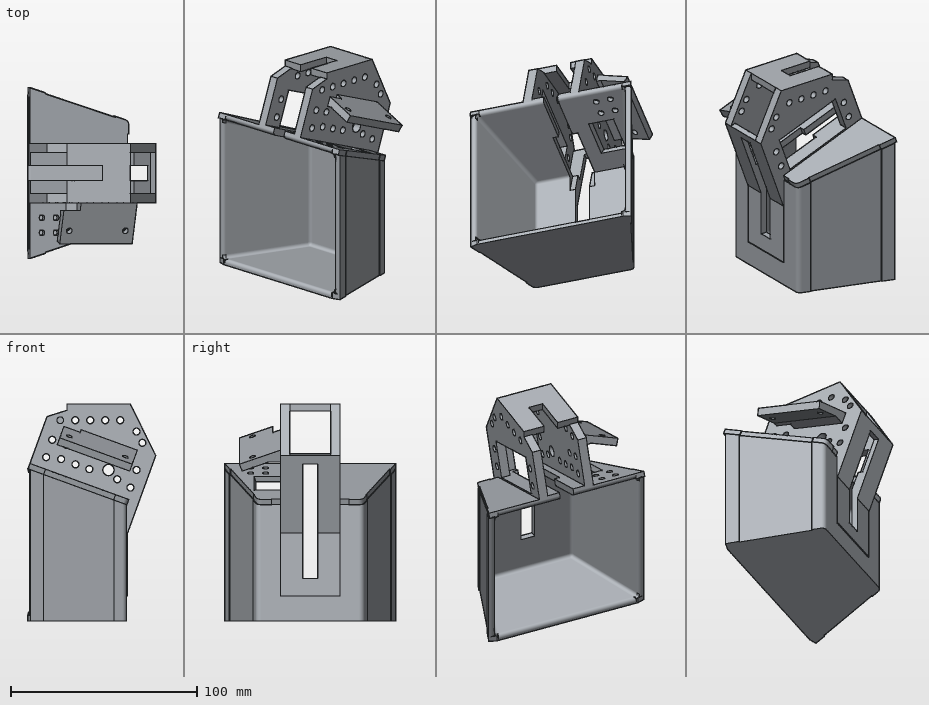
import cadquery as cq
import math

rim_half_width = 46.0
rim_corner_x = 1.4
back_x = 53.2
wall = 3.0
border_thickness = 3.3
step = 0.5
taper = math.radians(18.6)
border_front_x = 8.4
border_back_x = 46.3
inner_radius = 2.0
back_corner_radius = 3.0
back_pad_bottom = 13.5

tilt = math.radians(20)
roof_front_x = 1.2
roof_front_z = 84.7
roof_length = 56.6
roof_border_front = 9.0
roof_border_back = 49.0
roof_recess = 0.7
roof_recess_half_width = 20.9
roof_window_u = (20.5, 41.5)
roof_window_y = (-30.2, -16.0)
roof_hole_pitch = 8.0
roof_hole_centre = (11.0, -28.0)
screw_diameter = 3.2

bracket_half_width = 16.0
bracket_half_gap = 11.0
base_pad = 0.88
total_height = 116.7
top_plate = 3.9
top_front_x = 21.0
top_back_x = 55.2
nose_h = 26.8
nose_top_z = 113.3
tip_x = 68.9
tip_z = 88.9
window_u = (11.0, 51.0)
window_top = 21.6

pin_diameter = 3.6
pin_row_z = 108.0
pin_row_start_x = 17.5
pin_row_pitch = 8.0
pin_row_count = 5
single_pins = [
    (58.5, 101.9), (61.6, 95.8), (13.2, 97.5), (20.8, 94.8), (9.9, 88.1), (18.0, 87.1),
    (25.7, 84.3), (33.1, 81.7), (48.1, 76.2), (55.2, 71.8), (58.5, 81.2),
]
pivot_diameter = 6.0
pivot_place = (43.4, 81.2)

tab_u = (10.4, 51.8)
tab_edge_y = -38.0
tab_edge_h = 18.5
tab_thickness = 4.2
tab_foot_h = 19.6
tab_notch_back = 19.7
tab_notch_y = -20.1
tab_hole_y = -31.0
tab_hole_places = (14.9, 47.0)

slot_width = 8.0
slot_bottom = 23.0
top_slot_end_x = 40.3
back_slot_margin = 4.9
relief_width = 14.1
relief_u = (25.2, 56.1)
relief_bottom = 52.5

far = 2 * total_height
side_slope = math.tan(taper)
back_inner_x = back_x - wall
ceiling = total_height - top_plate
half_slot = slot_width / 2


def slope_point(u, h):
    """X and Z of a point u down the roof and h above it."""
    x = roof_front_x + u * math.cos(tilt) + h * math.sin(tilt)
    z = roof_front_z - u * math.sin(tilt) + h * math.cos(tilt)
    return (x, z)


def slope_coordinates(x, z):
    """u and h of a point given by X and Z."""
    dx = x - roof_front_x
    dz = z - roof_front_z
    u = dx * math.cos(tilt) - dz * math.sin(tilt)
    h = dx * math.sin(tilt) + dz * math.cos(tilt)
    return (u, h)


def box_between(x_range, y_range, z_range):
    lengths = [high - low for low, high in (x_range, y_range, z_range)]
    corner = (x_range[0], y_range[0], z_range[0])
    return cq.Workplane("XY").box(*lengths, centered=False).translate(corner)


def side_profile(points, y_low, y_high):
    """Prism with an X-Z outline between two Y places."""
    plane = cq.Workplane("XZ", origin=(0, y_high, 0))
    return plane.polyline(points).close().extrude(y_high - y_low)


def slope_box(u_low, u_high, h_low, h_high, y_low, y_high):
    """Block lying square to the roof."""
    corners = [(u_low, h_low), (u_high, h_low), (u_high, h_high), (u_low, h_high)]
    return side_profile([slope_point(u, h) for u, h in corners], y_low, y_high)


def cross_section_bar(points, u_low, u_high):
    """Bar running down the roof, with its section given as (Y, h) points."""
    x, z = slope_point(u_low, 0)
    section = cq.Plane(origin=(x, 0, z), xDir=(0, 1, 0), normal=roof_plane.xDir.toTuple())
    return cq.Workplane(section).polyline(points).close().extrude(u_high - u_low)


def mirrored(points):
    """Complete the +Y half of an outline with its mirror image."""
    return points + [(a, -b) for a, b in reversed(points)]


def tapered_y(x, inset):
    """Half width of the hopper at x, on a face set in square to the outer side."""
    return rim_half_width - (x - rim_corner_x) * side_slope - inset / math.cos(taper)


roof_plane = cq.Plane(
    origin=(roof_front_x, 0, roof_front_z),
    xDir=(math.cos(tilt), 0, -math.sin(tilt)),
    normal=(math.sin(tilt), 0, math.cos(tilt)),
)
under_roof = slope_box(-far, far, -far, -wall, -far, far)
tip_u, tip_h = slope_coordinates(tip_x, tip_z)


def hopper_body():
    """Solid block of the hopper below the roof, with the pad on its back."""
    front_y = rim_half_width - rim_corner_x / side_slope
    half = [
        (0, front_y),
        (rim_corner_x, rim_half_width),
        (border_front_x, tapered_y(border_front_x, 0)),
        (border_front_x, tapered_y(border_front_x, step)),
        (border_back_x, tapered_y(border_back_x, step)),
        (border_back_x, tapered_y(border_back_x, 0)),
        (back_x, tapered_y(back_x, 0)),
    ]
    body = cq.Workplane("XY").polyline(mirrored(half)).close().extrude(roof_front_z)
    body = body.edges("|Z and >X").fillet(back_corner_radius)
    pad = box_between(
        (back_inner_x, back_x + step),
        (-bracket_half_width, bracket_half_width),
        (back_pad_bottom, roof_front_z),
    )
    return body.union(pad).intersect(under_roof)


def roof():
    def half_width(u, inset):
        return rim_half_width - u * math.cos(tilt) * side_slope - inset

    half = [
        (0, rim_half_width),
        (roof_border_front, half_width(roof_border_front, 0)),
        (roof_border_front, half_width(roof_border_front, step)),
        (roof_border_back, half_width(roof_border_back, step)),
        (roof_border_back, half_width(roof_border_back, 0)),
        (roof_length, half_width(roof_length, 0)),
    ]
    sheet = cq.Workplane(roof_plane).polyline(mirrored(half)).close().extrude(-wall)
    back_corners = cq.selectors.BoxSelector((back_x - wall, -far, 0), (far, far, far))
    across_sheet = cq.selectors.ParallelDirSelector(roof_plane.zDir)
    sheet = sheet.edges(across_sheet).edges(back_corners).fillet(back_corner_radius)
    recess_u = roof_length - roof_recess
    recess = slope_box(recess_u, far, -far, far, -roof_recess_half_width, roof_recess_half_width)
    return sheet.cut(recess)


def hopper_cavity():
    mouth_x = -inner_radius
    back_half_width = tapered_y(back_inner_x, border_thickness)
    half = [
        (mouth_x, tapered_y(mouth_x, border_thickness)),
        (back_inner_x, back_half_width),
    ]
    floor_plane = cq.Workplane("XY").workplane(offset=wall)
    cavity = floor_plane.polyline(mirrored(half)).close().extrude(total_height)
    cavity = cavity.intersect(under_roof)
    sharp_corner = cavity.intersect(
        box_between(
            (back_inner_x - 2 * inner_radius, back_inner_x),
            (inner_radius - back_half_width, -relief_width / 2),
            (total_height / 2, total_height),
        )
    )
    return cavity.edges("not(<X)").fillet(inner_radius).union(sharp_corner)


def rounding_bar(plane, length):
    """Waste of a rounded edge that starts at the plane origin; its faces run along +x and +y."""
    bar = cq.Workplane(plane).rect(inner_radius, inner_radius, centered=False).extrude(length)
    core = cq.Workplane(plane).center(inner_radius, inner_radius).circle(inner_radius)
    return bar.cut(core.extrude(length))


def mouth_rounding():
    """Rounds the inner edges of the mouth along the floor, the roof and both side walls."""
    side_x = rim_corner_x - border_thickness * math.sin(taper)
    side_y = rim_half_width - border_thickness * math.cos(taper)
    half_length = side_y - inner_radius
    lip_x, lip_z = slope_point(0, -wall)

    floor_plane = cq.Plane(origin=(0, half_length, wall), xDir=(0, 0, -1), normal=(0, -1, 0))
    roof_lip_plane = cq.Plane(
        origin=(lip_x, half_length, lip_z), xDir=roof_plane.xDir.toTuple(), normal=(0, -1, 0)
    )
    side_plane = cq.Plane(
        origin=(side_x, side_y, wall), xDir=(math.cos(taper), -math.sin(taper), 0), normal=(0, 0, 1)
    )
    floor_bar = rounding_bar(floor_plane, 2 * half_length)
    roof_bar = rounding_bar(roof_lip_plane, 2 * half_length)
    side_bar = rounding_bar(side_plane, lip_z - wall)
    return floor_bar.union(roof_bar).union(side_bar).union(side_bar.mirror("XZ"))


def roof_openings():
    """Window with leaning sides, and a square pattern of four screw holes."""
    y_low, y_high = roof_window_y
    depth = 2 * wall
    lean = depth * math.tan(tilt)
    section = [(y_low, 0), (y_high, 0), (y_high + lean, -depth), (y_low + lean, -depth)]
    window = cross_section_bar(section, *roof_window_u)
    holes = (
        cq.Workplane(roof_plane)
        .center(*roof_hole_centre)
        .rarray(roof_hole_pitch, roof_hole_pitch, 2, 2)
        .circle(screw_diameter / 2)
        .extrude(-depth)
    )
    return window.union(holes)


def bracket_body():
    """Two side plates joined by a top plate, a back plate and a wedge behind the hopper."""
    foot_z = tip_z - (tip_x - back_x) / math.tan(tilt)
    joint_u = roof_length - roof_recess
    outline = [
        slope_point(0, 0),
        slope_point(0, nose_h),
        (top_front_x, nose_top_z),
        (top_front_x, total_height),
        (top_back_x, total_height),
        (tip_x, tip_z),
        (back_x, foot_z),
        slope_point(joint_u, -wall),
        slope_point(joint_u, 0),
    ]
    body = side_profile(outline, -bracket_half_width, bracket_half_width)

    gap_y = (-bracket_half_gap, bracket_half_gap)
    gap = slope_box(-far, tip_u - wall, base_pad, far, *gap_y)
    above_back_plate = slope_box(-far, far, tip_h, far, *gap_y)
    top = box_between((top_front_x, top_back_x), (-far, far), (ceiling, far))
    body = body.cut(gap.union(above_back_plate).cut(top))

    top_slot = box_between((0, top_slot_end_x), (-half_slot, half_slot), (ceiling, far))
    return body.cut(top_slot)


def side_plate_window():
    return slope_box(*window_u, base_pad, window_top, bracket_half_gap, bracket_half_width)


def bracket_holes():
    row = [(pin_row_start_x + i * pin_row_pitch, pin_row_z) for i in range(pin_row_count)]
    full_width = 2 * bracket_half_width
    outer = cq.Workplane("XZ", origin=(0, bracket_half_width, 0))
    pins = outer.pushPoints(row[1:] + single_pins).circle(pin_diameter / 2).extrude(full_width)
    pivot = outer.center(*pivot_place).circle(pivot_diameter / 2).extrude(full_width)
    first_pin = cq.Workplane("XZ").center(*row[0]).circle(pin_diameter / 2)
    return pins.union(pivot).union(first_pin.extrude(bracket_half_width))


def tab():
    rise = math.tan(tilt)
    root_y = -bracket_half_width
    lower_y = tab_edge_y + tab_thickness * math.sin(tilt)
    lower_h = tab_edge_h - tab_thickness * math.cos(tilt)
    foot_y = lower_y + (tab_foot_h - lower_h) / rise
    section = [
        (root_y, tab_edge_h + (root_y - tab_edge_y) * rise),
        (tab_edge_y, tab_edge_h),
        (lower_y, lower_h),
        (foot_y, tab_foot_h),
        (root_y, tab_foot_h),
    ]
    body = cross_section_bar(section, *tab_u)
    body = body.cut(slope_box(0, tab_notch_back, 0, far, tab_notch_y, root_y))

    hole_h = tab_edge_h + (tab_hole_y - tab_edge_y) * rise
    axis = roof_plane.zDir * math.cos(tilt) - cq.Vector(0, 1, 0) * math.sin(tilt)
    reach = 2 * tab_thickness
    for u in tab_hole_places:
        x, z = slope_point(u, hole_h)
        start = cq.Vector(x, tab_hole_y, z) - axis * reach
        hole = cq.Solid.makeCylinder(screw_diameter / 2, 2 * reach, start, axis)
        body = body.cut(cq.Workplane(hole))
    return body


def central_slot():
    slot = slope_box(-far, far, -far, tip_h - back_slot_margin, -half_slot, half_slot)
    slot = slot.intersect(box_between((-far, far), (-far, far), (slot_bottom, far)))
    half_relief = relief_width / 2
    relief = slope_box(*relief_u, -far, base_pad, -half_relief, half_relief)
    relief = relief.intersect(box_between((-far, far), (-far, far), (relief_bottom, far)))
    return slot.union(relief)


hopper = hopper_body().union(roof()).cut(hopper_cavity()).cut(mouth_rounding())
bracket = bracket_body().cut(side_plate_window()).cut(bracket_holes())
result = hopper.union(bracket).union(tab()).cut(roof_openings()).cut(central_slot())